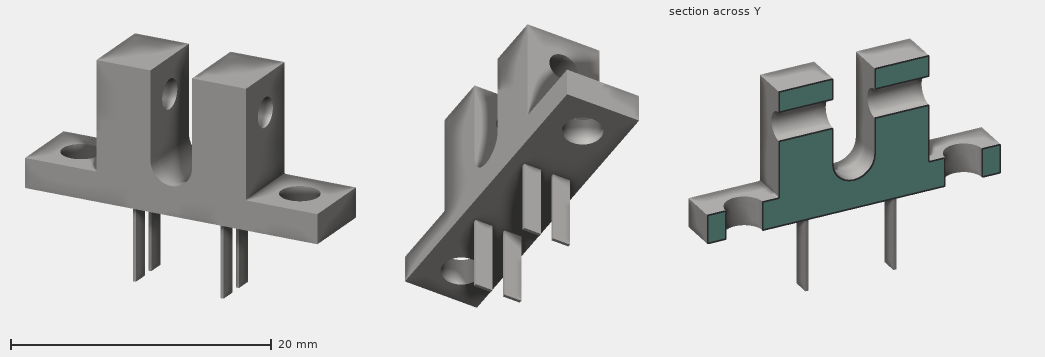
import cadquery as cq

total_height = 18.2

base_length = 25.4
depth = 6.35
base_height = 2.5
mount_hole_diameter = 3.2
mount_hole_spacing = 19.0

body_width = 13.0
body_height = 11.7
slot_width = 3.6
slot_floor = base_height
root_fillet = 0.1

beam_hole_diameter = 2.5
beam_hole_drop = 3.05

pin_length = total_height - body_height
pin_thickness = 0.25
pin_width = 1.5
pin_spacing_x = 7.62
pin_spacing_y = 2.55


def make_base():
    base = cq.Workplane("XY").box(base_length, depth, base_height, centered=(True, True, False))
    return (
        base.faces(">Z").workplane()
        .pushPoints([(-mount_hole_spacing / 2, 0), (mount_hole_spacing / 2, 0)])
        .hole(mount_hole_diameter)
    )


def make_towers():
    return cq.Workplane("XY").box(body_width, depth, body_height, centered=(True, True, False))


def fillet_tower_roots(body):
    reach = 2 * root_fillet
    for side in (-1, 1):
        root = (side * body_width / 2, 0, base_height)
        selector = cq.selectors.BoxSelector(
            (root[0] - reach, -reach, root[2] - reach),
            (root[0] + reach, reach, root[2] + reach),
        )
        body = body.edges("|Y").edges(selector).fillet(root_fillet)
    return body


def make_slot():
    radius = slot_width / 2
    arc_start = slot_floor + radius
    return (
        cq.Workplane("XZ")
        .moveTo(-radius, body_height)
        .lineTo(-radius, arc_start)
        .threePointArc((0, slot_floor), (radius, arc_start))
        .lineTo(radius, body_height)
        .close()
        .extrude(depth / 2, both=True)
    )


def make_beam_hole():
    return (
        cq.Workplane("YZ")
        .center(0, body_height - beam_hole_drop)
        .circle(beam_hole_diameter / 2)
        .extrude(body_width / 2, both=True)
    )


def make_pins():
    return (
        cq.Workplane("XY")
        .rarray(pin_spacing_x, pin_spacing_y, 2, 2)
        .rect(pin_thickness, pin_width)
        .extrude(-pin_length)
    )


body = fillet_tower_roots(make_base().union(make_towers()))
body = body.cut(make_slot()).cut(make_beam_hole())
result = body.union(make_pins())